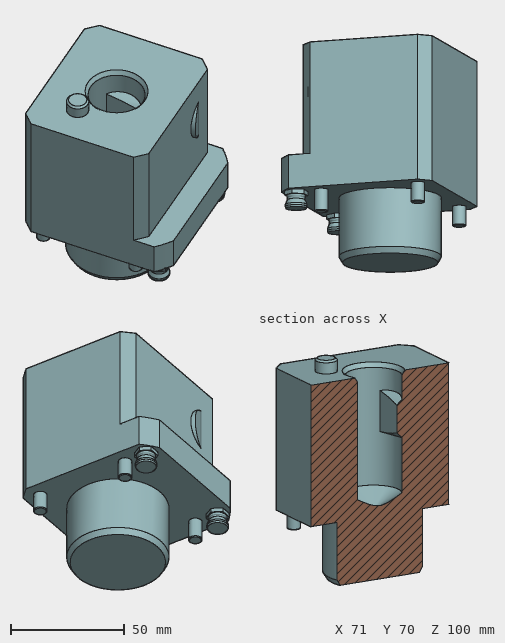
import cadquery as cq
import math

block_length = 60.0
foot_length = 71.0
block_width = 70.0
block_bottom = 29.0
block_top = 94.0
foot_height = 15.0
corner_chamfer = 5.0
foot_corner_radius = 49.5

axis_x = block_length / 2
axis_y = block_width / 2
shank_diameter = 45.0
shank_chamfer_height = 2.7
shank_chamfer_inset = shank_chamfer_height * math.tan(math.radians(30))

bore_diameter = 25.0
bore_depth = 56.0
bore_tip_angle = 118.0
bore_chamfer_inset = 1.3
bore_chamfer_depth = 2.1

bolt_diameter = 20.8
bolt_length = 46.0
bolt_angle = 15.0
bolt_height = 72.0
bolt_end_x = 59.3
bolt_end_y = 58.5
bolt_flat_y = 43.6

pin_diameter = 6.0
pin_offset_x = 22.5
pin_offset_y = 27.5
pin_length = 8.8
long_pin_length = 9.9
pin_chamfer = 0.4

stud_diameter = 9.8
stud_x = 19.7
stud_y = 16.9
stud_height = 6.0
stud_chamfer = 0.9

nipple_x = 64.0
nipple_offset = 28.0
hex_across_flats = 9.0
hex_height = 1.9
nipple_length = 7.8
nipple_neck_radius = 4.0
nipple_shoulder_radius = 4.2
nipple_rim_radius = 4.8
nipple_end_radius = 4.5
neck_start = 3.0
neck_end = 4.0
rim_start = 6.1
rim_end = 7.0

overlap = 1.0


def make_block():
    upper = (
        cq.Workplane("XY", origin=(axis_x, axis_y, block_bottom))
        .rect(block_length, block_width)
        .extrude(block_top - block_bottom)
        .edges("|Z")
        .chamfer(corner_chamfer)
    )
    foot_start = block_length / 2
    arc_x = axis_x + math.sqrt(foot_corner_radius**2 - axis_y**2)
    arc_y = math.sqrt(foot_corner_radius**2 - (foot_length - axis_x) ** 2)
    arc_middle_angle = (math.acos((arc_x - axis_x) / foot_corner_radius)
                        + math.asin(arc_y / foot_corner_radius)) / 2
    middle_x = axis_x + foot_corner_radius * math.cos(arc_middle_angle)
    middle_y = foot_corner_radius * math.sin(arc_middle_angle)
    foot = (
        cq.Workplane("XY", origin=(0, 0, block_bottom))
        .moveTo(foot_start, 0)
        .lineTo(arc_x, 0)
        .threePointArc((middle_x, axis_y - middle_y), (foot_length, axis_y - arc_y))
        .lineTo(foot_length, axis_y + arc_y)
        .threePointArc((middle_x, axis_y + middle_y), (arc_x, block_width))
        .lineTo(foot_start, block_width)
        .close()
        .extrude(foot_height)
    )
    return upper.union(foot)


def revolve_profile(points, origin):
    """Turn a (radius, height) outline about the vertical axis through origin."""
    return (
        cq.Workplane("XZ", origin=origin)
        .polyline(points)
        .close()
        .revolve(360, (0, 0, 0), (0, 1, 0))
    )


def make_shank():
    radius = shank_diameter / 2
    top = block_bottom + overlap
    outline = [
        (0, 0),
        (radius - shank_chamfer_inset, 0),
        (radius, shank_chamfer_height),
        (radius, top),
        (0, top),
    ]
    return revolve_profile(outline, (axis_x, axis_y, 0))


def make_bore():
    radius = bore_diameter / 2
    tip_height = radius / math.tan(math.radians(bore_tip_angle / 2))
    outline = [
        (0, -bore_depth - tip_height),
        (radius, -bore_depth),
        (radius, -bore_chamfer_depth),
        (radius + bore_chamfer_inset, 0),
        (0, 0),
    ]
    return revolve_profile(outline, (axis_x, axis_y, block_top))


def make_bolt():
    angle = math.radians(bolt_angle)
    bolt_plane = cq.Plane(
        origin=(bolt_end_x, bolt_end_y, bolt_height),
        xDir=(0, 0, 1),
        normal=(-math.cos(angle), -math.sin(angle), 0),
    )
    bolt = cq.Workplane(bolt_plane).circle(bolt_diameter / 2).extrude(bolt_length)
    flat_cut = cq.Workplane("XY").box(
        block_length, bolt_flat_y, block_top, centered=False
    )
    return bolt.cut(flat_cut)


def make_pin(x, y, length):
    return (
        cq.Workplane("XY", origin=(x, y, block_bottom + overlap))
        .circle(pin_diameter / 2)
        .extrude(-(length + overlap))
        .faces("<Z")
        .chamfer(pin_chamfer)
    )


def make_stud():
    return (
        cq.Workplane("XY", origin=(stud_x, stud_y, block_top - overlap))
        .circle(stud_diameter / 2)
        .extrude(stud_height + overlap)
        .faces(">Z")
        .chamfer(stud_chamfer)
    )


def make_nipple(y):
    hex_across_corners = hex_across_flats / math.cos(math.radians(30))
    hexagon = (
        cq.Workplane("XY", origin=(nipple_x, y, block_bottom + overlap))
        .transformed(rotate=(0, 0, 90))
        .polygon(6, hex_across_corners)
        .extrude(-(hex_height + overlap))
    )
    outline = [
        (0, 0),
        (nipple_shoulder_radius, 0),
        (nipple_shoulder_radius, -hex_height),
        (nipple_neck_radius, -neck_start),
        (nipple_neck_radius, -neck_end),
        (nipple_rim_radius, -rim_start),
        (nipple_rim_radius, -rim_end),
        (nipple_end_radius, -nipple_length),
        (0, -nipple_length),
    ]
    return hexagon.union(revolve_profile(outline, (nipple_x, y, block_bottom)))


result = make_block().union(make_shank()).cut(make_bore())
result = result.union(make_bolt()).union(make_stud())

for side_x in (-1, 1):
    for side_y in (-1, 1):
        is_long = side_x > 0 and side_y > 0
        length = long_pin_length if is_long else pin_length
        pin_x = axis_x + side_x * pin_offset_x
        pin_y = axis_y + side_y * pin_offset_y
        pin = make_pin(pin_x, pin_y, length)
        result = result.union(pin)

for side_y in (-1, 1):
    result = result.union(make_nipple(axis_y + side_y * nipple_offset))